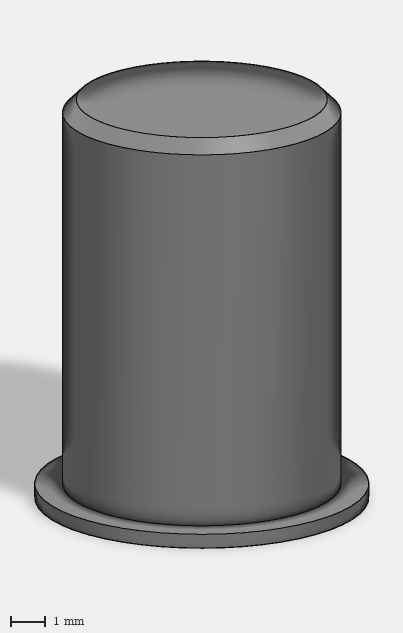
import cadquery as cq

total_height = 12.0
flange_diameter = 9.6
flange_thickness = 0.42
body_diameter = 8.0
top_chamfer = 0.4

body = (
    cq.Workplane("XY")
    .circle(body_diameter / 2)
    .extrude(total_height)
    .faces(">Z")
    .chamfer(top_chamfer)
)

flange = cq.Workplane("XY").circle(flange_diameter / 2).extrude(flange_thickness)

result = body.union(flange)